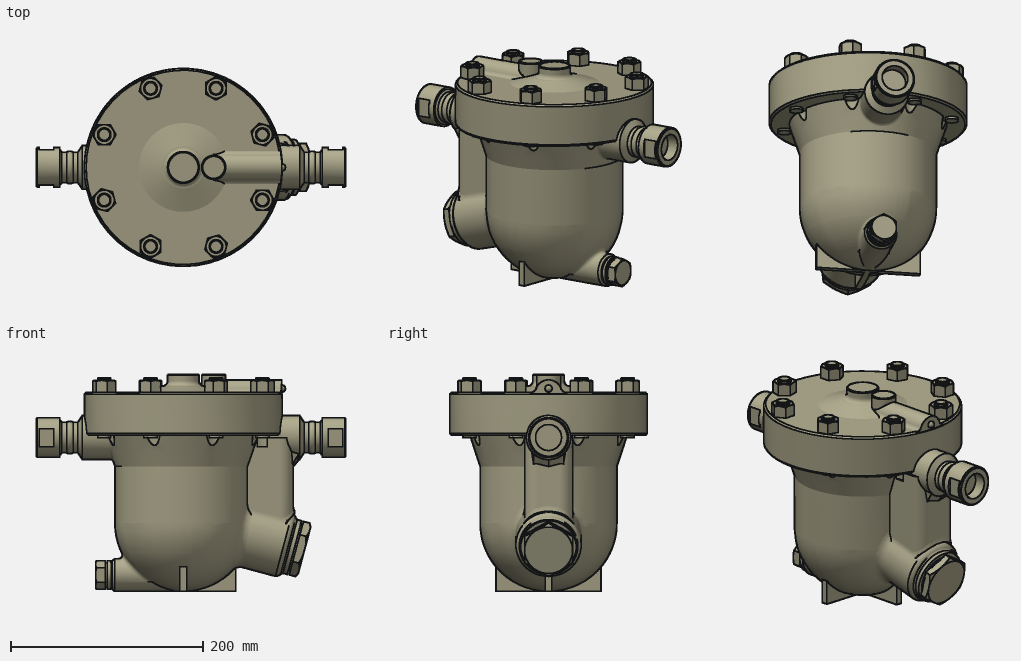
import cadquery as cq
import math


VESSEL_SEAM_ANGLE = 45.0
PORT_SEAM_ANGLE = 60.0
SELECT_MARGIN = 1.0

BODY_RADIUS = 71.25
DOME_TOP = 71.0
NECK_BOTTOM = 130.0
NECK_TOP_RADIUS = 82.0

FLANGE_RADIUS = 103.0
FLANGE_BOTTOM = 162.5
FLANGE_TOP = 207.0
FLANGE_EDGE = 2.0

BOLT_COUNT = 8
BOLT_CIRCLE_RADIUS = 89.0
BOLT_HALF_PITCH = 180.0 / BOLT_COUNT
STUD_DIAMETER = 14.0
STUD_BOTTOM = 160.0
STUD_TOP = 222.3
STUD_CHAMFER = 1.0
NUT_TOP = 219.4
NUT_ACROSS_FLATS = 21.0
HEX_CHAMFER_ANGLE = 30.0
SPOTFACE_DIAMETER = 21.0
SPOTFACE_DEPTH = 12.0

MOUND_RADIUS = 46.2
MOUND_TOP_RADIUS = 21.8
MOUND_TOP = 213.6
HUB_TOP = 225.6
HUB_DIAMETER = 33.0
HUB_FILLET_TOP = 218.8
HUB_CHAMFER = 1.0
SIDE_HUB_X = 31.6
SIDE_HUB_DIAMETER = 25.0

COVER_PIPE_RADIUS = 14.0
COVER_PIPE_AXIS_Z = 206.0
COVER_PIPE_FILLET = 6.0
COVER_PIPE_SINK = 0.2
COVER_PIPE_END = 102.6
PIN_RADIUS = 3.7
PIN_Z = 211.0

PORT_Z = 160.0
PORT_BOSS_RADIUS = 23.0
PORT_FILLET = 3.0
PORT_ROOT = 40.0
INLET_BOSS_END = 105.0
OUTLET_BOSS_END = 121.0
PIPE_RADIUS = 16.0
WELD_BEAD_RADIUS = 17.0
SOCKET_RADIUS = 20.75
SOCKET_BORE_DIAMETER = 27.05
SOCKET_BORE_DEPTH = 13.0
SOCKET_FLAT_GAP = 37.0

BOSS_CONE_LENGTH = 4.7
BEAD_START = 9.6
BEAD_END = 16.4
NECK_CONE_START = 21.3
SOCKET_START = 23.3
FLAT_START = 30.0
FLAT_END = 45.0
SOCKET_END = 48.0
SOCKET_CHAMFER = 1.3
SOCKET_NECK_RADIUS = 18.5

DUCT_END_X = 114.4
DUCT_HALF_WIDTH = 25.0
DUCT_CORNER_RADIUS = 14.0
DUCT_BOTTOM = 70.0

WEB_DUCT_Z = 129.5
WEB_SIDE_RISE = 2.5
WEB_SIDE_Y = 15.6
WEB_TIP_Y = 21.0
WEB_TIP = (103.0, 158.0)
WEB_TIP_SIZE = 2.0
WEB_OVERLAP = 0.3

STRAINER_ANGLE = 15.0
STRAINER_AXIS_Z = 76.5
STRAINER_START = 20.0
STRAINER_RADIUS = 34.0
STRAINER_ROUND_START = 105.0
STRAINER_ROUND_END = 113.0
STRAINER_RIM_RADIUS = 30.5
GASKET_RADIUS = 29.0
GASKET_START = 115.0
GASKET_END = 119.7
STRAINER_NECK_DIAMETER = 49.5
STRAINER_HEX_START = 121.7
STRAINER_HEX_END = 130.5
STRAINER_HEX_FLATS = 50.0
STRAINER_FILLET = 10.0
STRAINER_ALLOWANCE = 12.0

DRAIN_RADIUS = 17.0
DRAIN_BOSS_END = 71.3
DRAIN_RIM_END = 74.0
WASHER_START = 75.0
WASHER_END = 79.2
WASHER_RADIUS = 15.0
DRAIN_NECK_RADIUS = 13.0
DRAIN_HEX_START = 81.0
DRAIN_HEX_END = 91.3
DRAIN_HEX_FLATS = 26.0
DRAIN_FILLET = 4.0
DRAIN_FILLET_BOTTOM = 10.0

FOOT_REACH = 54.8
FOOT_HEIGHT = 26.0
FOOT_THICKNESS = 7.0


def turned(profile):
    """Turn a closed profile of (length, radius) points around the local X axis."""
    return cq.Workplane("XY").polyline(profile).close().revolve(360, (0, 0, 0), (1, 0, 0))


def hexagon(across_flats, bottom, top):
    """Upright hexagonal prism with corners on local X, its top corners turned off."""
    corner_radius = across_flats / math.sqrt(3)
    prism = (
        cq.Workplane("XY")
        .workplane(offset=bottom)
        .polygon(6, 2 * corner_radius)
        .extrude(top - bottom)
    )
    edge_drop = corner_radius - across_flats / 2
    limit = (
        cq.Workplane("XY")
        .workplane(offset=bottom)
        .circle(corner_radius)
        .extrude(top - bottom)
        .faces(">Z")
        .chamfer(edge_drop * math.tan(math.radians(HEX_CHAMFER_ANGLE)), edge_drop)
    )
    return prism.intersect(limit)


def plug_head(across_flats, start, end):
    """Hexagon along local X with two flats facing plus and minus Y."""
    return hexagon(across_flats, start, end).rotate((0, 0, 0), (0, 1, 0), 90)


def make_vessel():
    """Domed body, neck, bolted flange pair, cover mound and center hub in one turning."""
    middle = math.sqrt(0.5)
    hub_radius = HUB_DIAMETER / 2
    fillet_width = MOUND_TOP_RADIUS - hub_radius
    fillet_height = HUB_FILLET_TOP - MOUND_TOP
    return (
        cq.Workplane("XZ")
        .moveTo(0, 0)
        .threePointArc(
            (BODY_RADIUS * middle, DOME_TOP * (1 - middle)),
            (BODY_RADIUS, DOME_TOP),
        )
        .lineTo(BODY_RADIUS, NECK_BOTTOM)
        .lineTo(NECK_TOP_RADIUS, FLANGE_BOTTOM)
        .lineTo(FLANGE_RADIUS - FLANGE_EDGE, FLANGE_BOTTOM)
        .lineTo(FLANGE_RADIUS, FLANGE_BOTTOM + FLANGE_EDGE)
        .lineTo(FLANGE_RADIUS, FLANGE_TOP - FLANGE_EDGE)
        .lineTo(FLANGE_RADIUS - FLANGE_EDGE, FLANGE_TOP)
        .lineTo(MOUND_RADIUS, FLANGE_TOP)
        .lineTo(MOUND_TOP_RADIUS, MOUND_TOP)
        .threePointArc(
            (
                hub_radius + (1 - middle) * fillet_width,
                MOUND_TOP + (1 - middle) * fillet_height,
            ),
            (hub_radius, HUB_FILLET_TOP),
        )
        .lineTo(hub_radius, HUB_TOP - HUB_CHAMFER)
        .lineTo(hub_radius - HUB_CHAMFER, HUB_TOP)
        .lineTo(0, HUB_TOP)
        .close()
        .revolve()
        .rotate((0, 0, 0), (0, 0, 1), VESSEL_SEAM_ANGLE)
    )


def make_side_hub():
    return (
        cq.Workplane("XY")
        .workplane(offset=FLANGE_TOP - FLANGE_EDGE)
        .center(SIDE_HUB_X, 0)
        .circle(SIDE_HUB_DIAMETER / 2)
        .extrude(HUB_TOP - FLANGE_TOP + FLANGE_EDGE)
        .faces(">Z")
        .chamfer(HUB_CHAMFER)
    )


def make_cover_pipe():
    """Half-buried pipe whose sides flow into the cover with concave fillets."""
    reach = COVER_PIPE_RADIUS + COVER_PIPE_FILLET
    foot_z = FLANGE_TOP - COVER_PIPE_SINK
    base_z = FLANGE_TOP - 2 * FLANGE_EDGE
    fillet_rise = foot_z + COVER_PIPE_FILLET - COVER_PIPE_AXIS_Z
    foot_y = math.sqrt(reach**2 - fillet_rise**2)
    share = COVER_PIPE_RADIUS / reach
    touch = (foot_y * share, COVER_PIPE_AXIS_Z + fillet_rise * share)
    crown = (0, COVER_PIPE_AXIS_Z + COVER_PIPE_RADIUS)
    section = (
        cq.Workplane("YZ")
        .workplane(offset=SIDE_HUB_X)
        .moveTo(-foot_y, base_z)
        .lineTo(-foot_y, foot_z)
        .radiusArc((-touch[0], touch[1]), -COVER_PIPE_FILLET)
        .threePointArc(crown, touch)
        .radiusArc((foot_y, foot_z), -COVER_PIPE_FILLET)
        .lineTo(foot_y, base_z)
        .close()
        .extrude(FLANGE_RADIUS)
    )
    rim = cq.Workplane("XY").circle(COVER_PIPE_END).extrude(HUB_TOP)
    pin = cq.Workplane("XY").sphere(PIN_RADIUS).translate((COVER_PIPE_END, 0, PIN_Z))
    return section.intersect(rim).union(pin)


def bolt_spot(index):
    """Angle, X and Y of one bolt."""
    angle = BOLT_HALF_PITCH * (2 * index + 1)
    x = BOLT_CIRCLE_RADIUS * math.cos(math.radians(angle))
    y = BOLT_CIRCLE_RADIUS * math.sin(math.radians(angle))
    return angle, x, y


def make_spotface(index):
    _, x, y = bolt_spot(index)
    return (
        cq.Workplane("XY")
        .workplane(offset=FLANGE_BOTTOM)
        .center(x, y)
        .circle(SPOTFACE_DIAMETER / 2)
        .extrude(-SPOTFACE_DEPTH)
    )


def make_bolt(index):
    angle, x, y = bolt_spot(index)
    stud = (
        cq.Workplane("XY")
        .workplane(offset=STUD_BOTTOM)
        .circle(STUD_DIAMETER / 2)
        .extrude(STUD_TOP - STUD_BOTTOM)
        .faces(">Z")
        .chamfer(STUD_CHAMFER)
    )
    nut = hexagon(NUT_ACROSS_FLATS, FLANGE_TOP, NUT_TOP)
    turn = angle + BOLT_HALF_PITCH
    return stud.union(nut).rotate((0, 0, 0), (0, 0, 1), turn).translate((x, y, 0))


def make_port(boss_end):
    """Boss, pipe with weld bead and bored socket, running along plus X."""
    bead_middle = boss_end + (BEAD_START + BEAD_END) / 2
    port_end = boss_end + SOCKET_END
    body = (
        cq.Workplane("XY")
        .moveTo(PORT_ROOT, 0)
        .lineTo(PORT_ROOT, PORT_BOSS_RADIUS)
        .lineTo(boss_end, PORT_BOSS_RADIUS)
        .lineTo(boss_end + BOSS_CONE_LENGTH, PIPE_RADIUS)
        .lineTo(boss_end + BEAD_START, PIPE_RADIUS)
        .threePointArc((bead_middle, WELD_BEAD_RADIUS), (boss_end + BEAD_END, PIPE_RADIUS))
        .lineTo(boss_end + NECK_CONE_START, PIPE_RADIUS)
        .lineTo(boss_end + SOCKET_START, SOCKET_NECK_RADIUS)
        .lineTo(boss_end + SOCKET_START, SOCKET_RADIUS)
        .lineTo(port_end - SOCKET_CHAMFER, SOCKET_RADIUS)
        .lineTo(port_end, SOCKET_RADIUS - SOCKET_CHAMFER)
        .lineTo(port_end, 0)
        .close()
        .revolve(360, (0, 0, 0), (1, 0, 0))
        .rotate((0, 0, 0), (1, 0, 0), PORT_SEAM_ANGLE)
    )
    bore = (
        cq.Workplane("YZ")
        .workplane(offset=port_end)
        .circle(SOCKET_BORE_DIAMETER / 2)
        .extrude(-SOCKET_BORE_DEPTH)
    )
    flat_depth = SOCKET_RADIUS
    for side in (-1, 1):
        flat = cq.Workplane("XY").box(FLAT_END - FLAT_START, flat_depth, 2 * SOCKET_RADIUS)
        flat_x = boss_end + (FLAT_START + FLAT_END) / 2
        flat_y = side * (SOCKET_FLAT_GAP + flat_depth) / 2
        body = body.cut(flat.translate((flat_x, flat_y, 0)))
    return body.cut(bore).translate((0, 0, PORT_Z))


def make_duct():
    return (
        cq.Workplane("XY")
        .workplane(offset=DUCT_BOTTOM)
        .rect(2 * DUCT_END_X, 2 * DUCT_HALF_WIDTH)
        .extrude(PORT_Z - DUCT_BOTTOM)
        .edges(">X and |Z")
        .fillet(DUCT_CORNER_RADIUS)
        .intersect(
            cq.Workplane("XY")
            .box(DUCT_END_X, 2 * DUCT_HALF_WIDTH, PORT_Z, centered=(False, True, False))
        )
    )


def web_slice(y, duct_z):
    """Triangle across the web at one Y, meeting the duct at one corner and the boss at another."""
    past_corner = max(0, abs(y) - DUCT_HALF_WIDTH + DUCT_CORNER_RADIUS)
    corner_x = math.sqrt(DUCT_CORNER_RADIUS**2 - past_corner**2)
    duct_x = DUCT_END_X - DUCT_CORNER_RADIUS + corner_x - WEB_OVERLAP
    boss_x = OUTLET_BOSS_END - WEB_OVERLAP
    boss_z = PORT_Z - math.sqrt((PORT_BOSS_RADIUS - WEB_OVERLAP) ** 2 - y**2)
    corners = (WEB_TIP, (duct_x, duct_z), (boss_x, boss_z))
    return cq.Wire.makePolygon([cq.Vector(x, y, z) for x, z in corners], close=True)


def web_tip(y):
    """Small buried triangle where one side of the web runs out."""
    x, z = WEB_TIP
    corners = (WEB_TIP, (x, z - WEB_TIP_SIZE), (x + WEB_TIP_SIZE, z - WEB_TIP_SIZE))
    return cq.Wire.makePolygon([cq.Vector(x, y, z) for x, z in corners], close=True)


def make_web():
    """Web that carries the outlet boss down onto the duct, narrowing to a tip at each side."""
    side_z = WEB_DUCT_Z + WEB_SIDE_RISE
    slices = [
        web_tip(-WEB_TIP_Y),
        web_slice(-WEB_SIDE_Y, side_z),
        web_slice(0, WEB_DUCT_Z),
        web_slice(WEB_SIDE_Y, side_z),
        web_tip(WEB_TIP_Y),
    ]
    return cq.Workplane("XY").newObject([cq.Solid.makeLoft(slices, True)])


def along_strainer(shape):
    """Move a shape built along X onto the sloping strainer axis."""
    return shape.rotate((0, 0, 0), (0, 1, 0), STRAINER_ANGLE).translate((0, 0, STRAINER_AXIS_Z))


def add_strainer_boss(vessel):
    """Join the strainer boss with a filleted root, then trim it to a rounded rim."""
    long_end = STRAINER_ROUND_END + STRAINER_ALLOWANCE
    boss = turned([
        (STRAINER_START, 0),
        (STRAINER_START, STRAINER_RADIUS),
        (long_end, STRAINER_RADIUS),
        (long_end, 0),
    ])
    root = cq.selectors.BoxSelector(
        (FOOT_REACH - STRAINER_FILLET, -2 * STRAINER_RADIUS, DRAIN_RADIUS),
        (DUCT_END_X + SELECT_MARGIN, 2 * STRAINER_RADIUS, DUCT_BOTTOM + 2 * STRAINER_FILLET),
    )
    joined = vessel.union(along_strainer(boss)).edges(root).fillet(STRAINER_FILLET)
    middle = math.sqrt(0.5)
    round_length = STRAINER_ROUND_END - STRAINER_ROUND_START
    rim_drop = STRAINER_RADIUS - STRAINER_RIM_RADIUS
    trim = (
        cq.Workplane("XY")
        .moveTo(STRAINER_ROUND_START, STRAINER_RADIUS)
        .threePointArc(
            (
                STRAINER_ROUND_START + middle * round_length,
                STRAINER_RADIUS - (1 - middle) * rim_drop,
            ),
            (STRAINER_ROUND_END, STRAINER_RIM_RADIUS),
        )
        .lineTo(STRAINER_ROUND_END, 0)
        .lineTo(long_end, 0)
        .lineTo(long_end, STRAINER_RADIUS + STRAINER_FILLET)
        .close()
        .revolve(360, (0, 0, 0), (1, 0, 0))
    )
    return joined.cut(along_strainer(trim))


def make_strainer_plug():
    neck_radius = STRAINER_NECK_DIAMETER / 2
    holder = turned([
        (STRAINER_ROUND_START, 0),
        (STRAINER_ROUND_START, GASKET_RADIUS),
        (STRAINER_ROUND_END, STRAINER_RIM_RADIUS),
        (GASKET_START, GASKET_RADIUS),
        (GASKET_END, GASKET_RADIUS),
        (GASKET_END, neck_radius),
        (STRAINER_HEX_START, neck_radius),
        (STRAINER_HEX_START, 0),
    ])
    head = plug_head(STRAINER_HEX_FLATS, STRAINER_HEX_START, STRAINER_HEX_END)
    return along_strainer(holder.union(head))


def make_drain_boss():
    return (
        cq.Workplane("YZ")
        .center(0, DRAIN_RADIUS)
        .circle(DRAIN_RADIUS)
        .extrude(-DRAIN_BOSS_END)
    )


def add_drain_boss(vessel):
    """Join the drain boss, filleting only the part of its root above the dome bottom."""
    upper = make_drain_boss().intersect(
        cq.Workplane("XY")
        .workplane(offset=DRAIN_FILLET_BOTTOM)
        .rect(2 * DRAIN_BOSS_END, 2 * DRAIN_RADIUS)
        .extrude(2 * DRAIN_RADIUS)
    )
    root = cq.selectors.BoxSelector(
        (-DRAIN_BOSS_END + DRAIN_FILLET, -SELECT_MARGIN, DRAIN_FILLET_BOTTOM - SELECT_MARGIN),
        (0, SELECT_MARGIN, 2 * DRAIN_RADIUS),
    )
    return vessel.union(upper).edges(root).fillet(DRAIN_FILLET).union(make_drain_boss())


def make_drain_plug():
    holder = turned([
        (DRAIN_BOSS_END, 0),
        (DRAIN_BOSS_END, DRAIN_RADIUS),
        (DRAIN_RIM_END, WASHER_RADIUS),
        (DRAIN_RIM_END, DRAIN_NECK_RADIUS),
        (WASHER_START, DRAIN_NECK_RADIUS),
        (WASHER_START, WASHER_RADIUS),
        (WASHER_END, WASHER_RADIUS),
        (WASHER_END, DRAIN_NECK_RADIUS),
        (DRAIN_HEX_START, DRAIN_NECK_RADIUS),
        (DRAIN_HEX_START, 0),
    ])
    head = plug_head(DRAIN_HEX_FLATS, DRAIN_HEX_START, DRAIN_HEX_END)
    plug = holder.union(head).rotate((0, 0, 0), (0, 0, 1), 180)
    return plug.translate((0, 0, DRAIN_RADIUS))


def make_foot(direction):
    foot = cq.Workplane("XY").box(
        FOOT_REACH, FOOT_THICKNESS, FOOT_HEIGHT, centered=(False, True, False)
    )
    return foot.rotate((0, 0, 0), (0, 0, 1), direction)


def add_inlet(vessel):
    """Join the inlet connection and fillet it into the neck."""
    root = cq.selectors.BoxSelector(
        (-NECK_TOP_RADIUS, -PORT_BOSS_RADIUS - SELECT_MARGIN, PORT_Z - PORT_BOSS_RADIUS),
        (-BODY_RADIUS, PORT_BOSS_RADIUS + SELECT_MARGIN, PORT_Z - PORT_FILLET),
    )
    joined = vessel.union(make_port(INLET_BOSS_END).mirror("YZ"))
    return joined.edges(root).fillet(PORT_FILLET)


result = make_vessel()
result = add_drain_boss(result)
result = add_inlet(result)
result = result.union(make_duct())
result = add_strainer_boss(result)
for foot_direction in (-90, 0, 90):
    result = result.union(make_foot(foot_direction))
for spot in range(BOLT_COUNT):
    result = result.cut(make_spotface(spot))
result = result.union(make_strainer_plug())
result = result.union(make_drain_plug())
result = result.union(make_port(OUTLET_BOSS_END))
result = result.union(make_web())
result = result.union(make_cover_pipe())
result = result.union(make_side_hub())
for spot in range(BOLT_COUNT):
    result = result.union(make_bolt(spot))